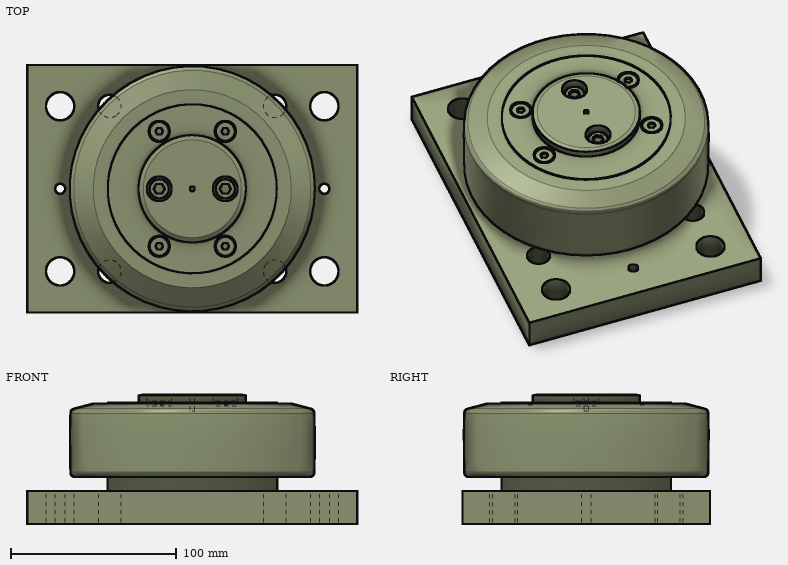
import cadquery as cq
import math

plate_length = 200.0
plate_width = 150.0
plate_thickness = 20.0
mount_spacing_x = 160.0
mount_spacing_y = 100.0
mount_hole_diameter = 17.0
dowel_hole_diameter = 6.0
inner_hole_spacing = 100.0
inner_hole_diameter = 13.8

neck_diameter = 103.0
roller_diameter = 148.0
roller_barrel_bulge = 0.3
roller_bottom = 28.5
roller_shoulder = 73.0
edge_radius = 3.0
crown_flat_diameter = 120.0
crown_angle = math.radians(15)

cover_diameter = 102.5
cover_top = 73.5
pin_diameter = 65.0
pin_top = 78.5
pin_chamfer_width = 2.8
pin_chamfer_height = 0.5
grease_hole_diameter = 3.0
grease_hole_depth = 10.0

screw_spacing_x = 40.0
cover_screw_spacing_y = 69.5
cover_recess_diameter = 12.8
cover_head_diameter = 11.5
cover_recess_depth = 0.5
cover_head_drop = 0.2
cover_socket_corners = 4.5
cover_socket_depth = 1.2
pin_recess_diameter = 15.0
pin_recess_depth = 7.0
pin_head_diameter = 11.5
pin_head_height = 3.0
pin_socket_corners = 6.8
pin_socket_depth = 1.5


def disc(diameter, bottom, top):
    """Vertical cylinder on the roller axis."""
    return cq.Workplane("XY").workplane(offset=bottom).circle(diameter / 2).extrude(top - bottom)


def make_plate():
    plate = cq.Workplane("XY").box(
        plate_length, plate_width, plate_thickness, centered=(True, True, False)
    )
    top = plate.faces(">Z").workplane()
    plate = top.rarray(mount_spacing_x, mount_spacing_y, 2, 2).hole(mount_hole_diameter)
    top = plate.faces(">Z").workplane(origin=(0, 0, plate_thickness))
    plate = top.rarray(mount_spacing_x, 2, 2, 1).hole(dowel_hole_diameter)
    top = plate.faces(">Z").workplane(origin=(0, 0, plate_thickness))
    return top.rarray(inner_hole_spacing, inner_hole_spacing, 2, 2).hole(inner_hole_diameter)


def make_roller():
    """Revolved barrel-shaped roller with rounded outer edges and a conical crown on top."""
    radius = roller_diameter / 2
    round_center_x = radius - edge_radius
    arc_end_angle = math.pi / 2 - crown_angle
    crown_edge_x = round_center_x + edge_radius * math.cos(arc_end_angle)
    crown_flat_radius = crown_flat_diameter / 2
    crown_rise = (crown_edge_x - crown_flat_radius) * math.tan(crown_angle)
    crown_edge_z = roller_shoulder - crown_rise
    side_top = crown_edge_z - edge_radius * math.sin(arc_end_angle)
    side_bottom = roller_bottom + edge_radius

    def round_point(center_z, angle):
        """Point on the edge rounding, with the angle measured up from horizontal."""
        return (
            round_center_x + edge_radius * math.cos(angle),
            center_z + edge_radius * math.sin(angle),
        )

    profile = (
        cq.Workplane("XZ")
        .moveTo(0, roller_bottom)
        .lineTo(round_center_x, roller_bottom)
        .threePointArc(round_point(side_bottom, -math.pi / 4), (radius, side_bottom))
        .threePointArc(
            (radius + roller_barrel_bulge, (side_bottom + side_top) / 2), (radius, side_top)
        )
        .threePointArc(round_point(side_top, arc_end_angle / 2), (crown_edge_x, crown_edge_z))
        .lineTo(crown_flat_radius, roller_shoulder)
        .lineTo(0, roller_shoulder)
        .close()
    )
    return profile.revolve(360, (0, 0), (0, 1))


def make_pin():
    pin = disc(pin_diameter, roller_shoulder, pin_top)
    return pin.faces(">Z").edges().chamfer(pin_chamfer_height, pin_chamfer_width)


def add_screw(body, x, y, surface, recess, head, socket):
    """Sink a round recess into the surface and leave a hex-socket screw head in it."""
    recess_diameter, recess_depth = recess
    head_diameter, head_height = head
    socket_corners, socket_depth = socket
    floor = surface - recess_depth
    head_top = floor + head_height
    cavity = disc(recess_diameter, floor, pin_top)
    screw_head = disc(head_diameter, floor, head_top)
    hex_socket = (
        cq.Workplane("XY")
        .workplane(offset=head_top - socket_depth)
        .polygon(6, socket_corners)
        .extrude(socket_depth)
    )
    body = body.cut(cavity.translate((x, y, 0)))
    body = body.union(screw_head.translate((x, y, 0)))
    return body.cut(hex_socket.translate((x, y, 0)))


cover_recess = (cover_recess_diameter, cover_recess_depth)
cover_head = (cover_head_diameter, cover_recess_depth - cover_head_drop)
cover_socket = (cover_socket_corners, cover_socket_depth)
pin_recess = (pin_recess_diameter, pin_recess_depth)
pin_head = (pin_head_diameter, pin_head_height)
pin_socket = (pin_socket_corners, pin_socket_depth)

result = make_plate()
result = result.union(disc(neck_diameter, plate_thickness, roller_bottom))
result = result.union(make_roller())
result = result.union(disc(cover_diameter, roller_shoulder, cover_top))

for side in (-1, 1):
    x = side * screw_spacing_x / 2
    for y in (-cover_screw_spacing_y / 2, cover_screw_spacing_y / 2):
        result = add_screw(result, x, y, cover_top, cover_recess, cover_head, cover_socket)

result = result.union(make_pin())
for side in (-1, 1):
    x = side * screw_spacing_x / 2
    result = add_screw(result, x, 0, pin_top, pin_recess, pin_head, pin_socket)

result = result.cut(disc(grease_hole_diameter, pin_top - grease_hole_depth, pin_top))